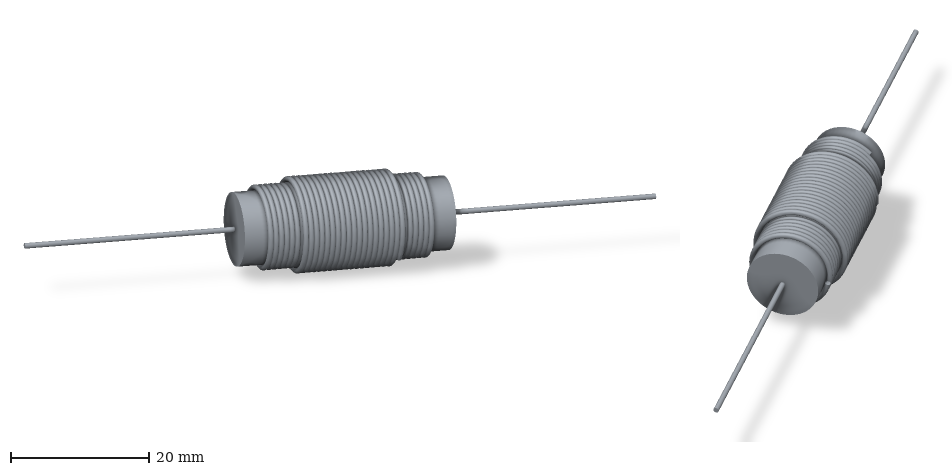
import cadquery as cq
import math


overall_length = 95.25
core_length = 31.9
core_diameter = 10.9
lead_diameter = 0.8

wire_diameter = 0.8
turn_pitch = 0.81
winding_diameter = 14.2
layer_count = 2

inner_turns = 30.85
inner_start_y = -12.5
inner_start_angle = 315.0

outer_turns = 18.65
outer_start_y = -7.5
outer_start_angle = 264.0

layer_spacing = (winding_diameter - core_diameter) / 2 / layer_count
outer_coil_radius = (winding_diameter - wire_diameter) / 2
inner_coil_radius = outer_coil_radius - layer_spacing


def cylinder_along_y(diameter, length):
    """Cylinder on the Y axis, centred on the origin."""
    return cq.Workplane("XZ").circle(diameter / 2).extrude(length / 2, both=True)


def make_core():
    """Core and its two leads, one solid."""
    body = cylinder_along_y(core_diameter, core_length)
    leads = cylinder_along_y(lead_diameter, overall_length)
    return body.union(leads)


def make_winding(coil_radius, turns, start_y, start_angle):
    """One layer of round wire, a right-handed helix that advances towards +Y."""
    helix = cq.Wire.makeHelix(turn_pitch, turns * turn_pitch, coil_radius)

    direction = (0, 2 * math.pi * coil_radius, turn_pitch)
    wire_section = cq.Plane(origin=(coil_radius, 0, 0), xDir=(1, 0, 0), normal=direction)
    wire = cq.Workplane(wire_section).circle(wire_diameter / 2).sweep(helix, isFrenet=True)

    wire = wire.rotate((0, 0, 0), (1, 0, 0), -90)
    wire = wire.rotate((0, 0, 0), (0, 1, 0), start_angle - 90)
    return wire.translate((0, start_y, 0))


core = make_core()
inner_winding = make_winding(inner_coil_radius, inner_turns, inner_start_y, inner_start_angle)
outer_winding = make_winding(outer_coil_radius, outer_turns, outer_start_y, outer_start_angle)

result = cq.Compound.makeCompound([core.val(), inner_winding.val(), outer_winding.val()])